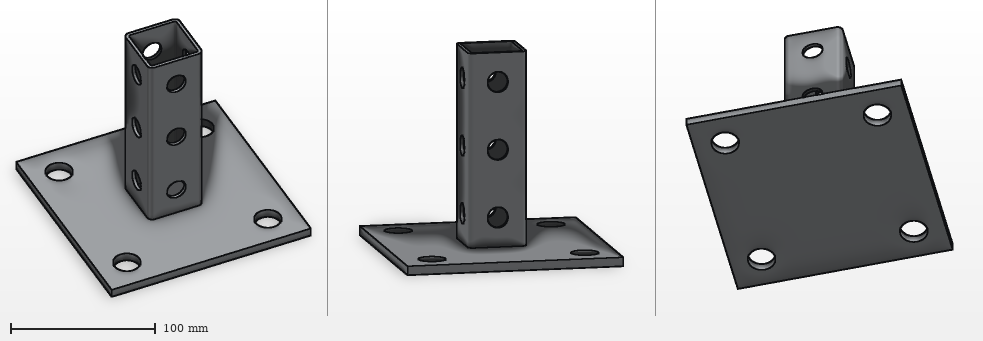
import cadquery as cq

plate_side = 152.4
plate_thickness = 6.4
anchor_hole_diameter = 19.0
anchor_hole_spacing = 107.9

total_height = 143.0
tube_side = 41.3
tube_wall = 2.6
tube_outer_radius = 3.8
tube_inner_radius = tube_outer_radius - tube_wall
tube_height = total_height - plate_thickness

cross_hole_diameter = 14.3
cross_hole_pitch = 47.5
top_hole_drop = 20.7
cross_hole_count = 3


def rounded_post(side, radius):
    """Square post with rounded upright edges, standing on the plate."""
    return (
        cq.Workplane("XY", origin=(0, 0, plate_thickness))
        .rect(side, side)
        .extrude(tube_height)
        .edges("|Z")
        .fillet(radius)
    )


def base_plate():
    """Square plate with an anchor hole near each corner."""
    return (
        cq.Workplane("XY")
        .rect(plate_side, plate_side)
        .extrude(plate_thickness)
        .faces(">Z")
        .workplane()
        .rect(anchor_hole_spacing, anchor_hole_spacing, forConstruction=True)
        .vertices()
        .hole(anchor_hole_diameter)
    )


def cross_holes(plane):
    """Column of cylinders crossing the whole tube, normal to the given plane."""
    top_hole_height = total_height - top_hole_drop
    centers = [(0, top_hole_height - i * cross_hole_pitch) for i in range(cross_hole_count)]
    return (
        cq.Workplane(plane)
        .pushPoints(centers)
        .circle(cross_hole_diameter / 2)
        .extrude(tube_side, both=True)
    )


inner_side = tube_side - 2 * tube_wall
tube = rounded_post(tube_side, tube_outer_radius).cut(rounded_post(inner_side, tube_inner_radius))
for hole_plane in ("XZ", "YZ"):
    tube = tube.cut(cross_holes(hole_plane))

result = base_plate().union(tube)